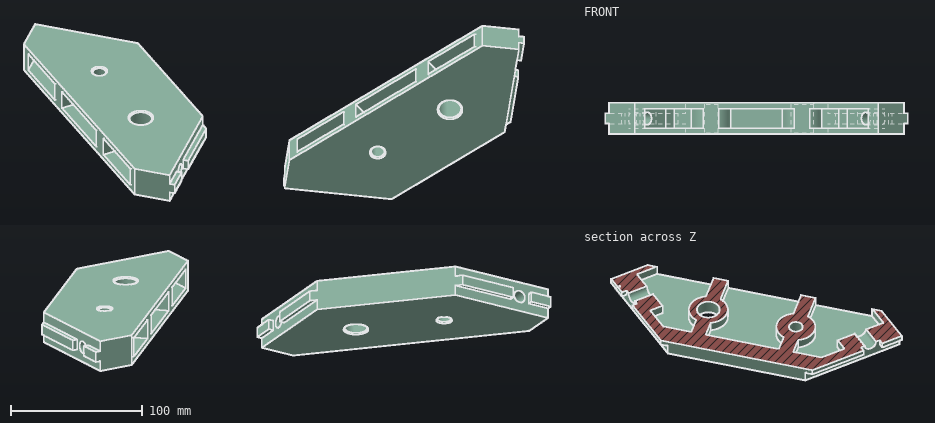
import cadquery as cq
import math

ROOT2 = math.sqrt(2)
flank_angle = 135

total_width = 230.66
depth = 78.0
thickness = 24.0

tongue_height = 4.0
tongue_thickness = 8.0
tongue_back_half_width = 60.0
gap_length = 16.0

body_back_half_width = tongue_back_half_width - tongue_height * ROOT2
body_half_width = total_width / 2 - tongue_height / ROOT2
corner_y = depth - (body_half_width - body_back_half_width)
front_half_width = body_half_width - corner_y

cross_hole_diameter = 9.5
cross_hole_offset = 25.3

pocket_height = 15.0
thin_wall = 5.4
back_wall = 16.0
pad_thickness = 16.0
pad_past_hole = 20.0
pocket_back_y = depth - back_wall

bore_x = 34.65
bore_y = 35.0
rib_thickness = 11.8
boss_radius = 15.0
small_bore_diameter = 10.11
large_bore_diameter = 17.0
bore_chamfer = 1.0


def slab(points, height):
    """Prism on the given XY outline, centred on Z = 0."""
    return cq.Workplane("XY").polyline(points).close().extrude(height / 2, both=True)


def flank_box(start, end, inner, outer, height):
    """Box on the right flank: start..end run back along it, inner..outer run outward from it."""
    box = cq.Workplane("XY").box(end - start, outer - inner, height, centered=(False, False, True))
    box = box.translate((start, -outer, 0)).rotate((0, 0, 0), (0, 0, 1), flank_angle)
    return box.translate((body_half_width, corner_y, 0))


def both_sides(shape):
    """The shape together with its mirror image across X = 0."""
    return shape.union(shape.mirror("YZ"))


def make_body():
    right = [(front_half_width, 0), (body_half_width, corner_y), (body_back_half_width, depth)]
    left = [(-x, y) for x, y in reversed(right)]
    return slab(right + left, thickness)


def make_tongue():
    """Right tongue: flush with the front corner and back edge, interrupted at the cross hole."""
    step = tongue_height / ROOT2
    corner = (body_half_width, corner_y)
    tip = (body_half_width + step, corner_y + step)
    outline = [corner, tip, (tongue_back_half_width, depth), (body_back_half_width, depth)]
    gap = flank_box(
        cross_hole_offset - gap_length / 2,
        cross_hole_offset + gap_length / 2,
        0,
        tongue_height,
        tongue_thickness,
    )
    return slab(outline, tongue_thickness).cut(gap)


def make_pocket_space():
    """One wide hollow; its side walls follow the corners and flanks of the body."""
    opening_half_width = front_half_width - thin_wall * ROOT2
    flank_sum = body_half_width + corner_y - thin_wall * ROOT2
    side_x = (flank_sum + opening_half_width) / 2
    side_y = flank_sum - side_x
    right = [
        (opening_half_width, 0),
        (side_x, side_y),
        (flank_sum - pocket_back_y, pocket_back_y),
    ]
    left = [(-x, y) for x, y in reversed(right)]
    return slab(right + left, pocket_height)


def make_pad():
    """Thickened stretch of the right flank wall around the cross hole."""
    return flank_box(0, cross_hole_offset + pad_past_hole, -pad_thickness, 0, pocket_height)


def make_rib():
    """Right rib with its round boss."""
    rib = cq.Workplane("XY").box(rib_thickness, depth, pocket_height, centered=(True, False, True))
    boss = cq.Workplane("XY").circle(boss_radius).extrude(pocket_height / 2, both=True)
    return rib.translate((bore_x, 0, 0)).union(boss.translate((bore_x, bore_y, 0)))


def make_bore(x, diameter):
    """Vertical through bore with a chamfer at both ends."""
    radius = diameter / 2
    half = thickness / 2
    profile = [
        (0, -half),
        (radius + bore_chamfer, -half),
        (radius, -half + bore_chamfer),
        (radius, half - bore_chamfer),
        (radius + bore_chamfer, half),
        (0, half),
    ]
    bore = cq.Workplane("XZ").polyline(profile).close().revolve(360, (0, 0), (0, 1))
    return bore.translate((x, bore_y, 0))


def make_cross_hole():
    """Hole square to the right flank, through the pad into the pocket."""
    along = cross_hole_offset / ROOT2
    entry = cq.Vector(body_half_width - along, corner_y + along, 0)
    inward = cq.Vector(-1, -1, 0)
    return cq.Workplane(
        cq.Solid.makeCylinder(cross_hole_diameter / 2, pad_thickness, entry, inward)
    )


pockets = make_pocket_space().cut(both_sides(make_pad())).cut(both_sides(make_rib()))

result = make_body().union(both_sides(make_tongue())).cut(pockets)
result = result.cut(both_sides(make_cross_hole()))
result = result.cut(make_bore(-bore_x, small_bore_diameter))
result = result.cut(make_bore(bore_x, large_bore_diameter))